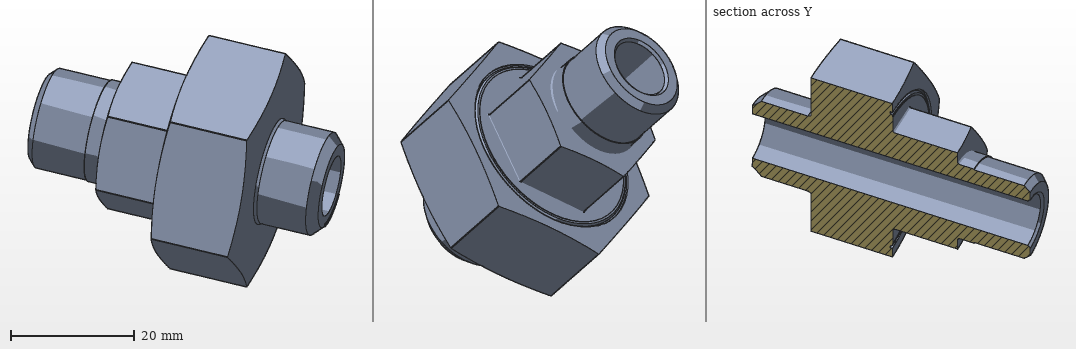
import cadquery as cq
import math


SPIGOT_LAND_START = 10.0
HEX_START = 12.9
COLLAR_FACE = 24.4
NUT_START = 24.5
NUT_LENGTH = 14.5
NUT_END = NUT_START + NUT_LENGTH
BODY_LENGTH = 49.4

SPIGOT_RADIUS = 16.66 / 2
SPIGOT_LAND_RADIUS = 17.0 / 2
SPIGOT_CHAMFER = 1.1

STUB_RADIUS = 17.2 / 2
STUB_CHAMFER_LENGTH = 1.6
STUB_CHAMFER_HEIGHT = 1.65

BORE_RADIUS = 10.0 / 2
BORE_CHAMFER = 0.45

HEX_ACROSS_FLATS = 22.0
NUT_ACROSS_FLATS = 35.0
HEX_CORNER_CHAMFER = 0.09
HEX_BEVEL_ANGLE = 15.0
BEVEL_CIRCLE_INSET = 0.05

SPIGOT_FILLET = 0.4
HEX_FILLET = 0.4
STUB_FOOT_LENGTH = 0.5
STUB_FOOT_HEIGHT = 0.25

RECESS_RADIUS = 30.9 / 2
RECESS_DEPTH = 0.4
COLLAR_RADIUS = 29.0 / 2
RING_RADIUS = 30.3 / 2
RING_CHAMFER = 0.3
RING_OVERLAP = 0.5

BAND_HEIGHT = 0.1
BAND_WIDTH = 0.5
BAND_HALF_ANGLE = 33.0


def cylinder(radius, start, end):
    return cq.Workplane("YZ", origin=(start, 0, 0)).circle(radius).extrude(end - start)


def revolve_profile(profile):
    """Turn a closed (x, radius) outline around the X axis."""
    return profile.close().revolve(360, (0, 0, 0), (1, 0, 0))


def hexagon(across_flats, start, end):
    """Hexagonal bar with flats facing +Z and -Z and narrow flats along the corners."""
    corner_diameter = across_flats / math.cos(math.radians(30))
    bar = cq.Workplane("YZ", origin=(start, 0, 0)).polygon(6, corner_diameter).extrude(end - start)
    return bar.edges("|X").chamfer(HEX_CORNER_CHAMFER)


def bevel_envelope(across_flats, start, end, bevel_end):
    """Turned envelope that bevels the hexagon corners at the start and optionally at the end."""
    face_radius = across_flats / 2 - BEVEL_CIRCLE_INSET
    outer_radius = across_flats / 2 / math.cos(math.radians(30))
    bevel_length = (outer_radius - face_radius) * math.tan(math.radians(HEX_BEVEL_ANGLE))
    profile = cq.Workplane("XY").moveTo(start, 0).lineTo(start, face_radius)
    profile = profile.lineTo(start + bevel_length, outer_radius)
    if bevel_end:
        profile = profile.lineTo(end - bevel_length, outer_radius).lineTo(end, face_radius)
    else:
        profile = profile.lineTo(end, outer_radius)
    return revolve_profile(profile.lineTo(end, 0))


def spigot():
    """Chamfered spigot with a raised land and a fillet running into the small hexagon."""
    fillet_start = HEX_START - SPIGOT_FILLET
    fillet_top = SPIGOT_LAND_RADIUS + SPIGOT_FILLET
    profile = (
        cq.Workplane("XY")
        .lineTo(0, SPIGOT_RADIUS - SPIGOT_CHAMFER)
        .lineTo(SPIGOT_CHAMFER, SPIGOT_RADIUS)
        .lineTo(SPIGOT_LAND_START, SPIGOT_RADIUS)
        .lineTo(SPIGOT_LAND_START, SPIGOT_LAND_RADIUS)
        .lineTo(fillet_start, SPIGOT_LAND_RADIUS)
        .radiusArc((HEX_START, fillet_top), -SPIGOT_FILLET)
        .lineTo(HEX_START, 0)
    )
    return revolve_profile(profile)


def body_hexagon():
    """Small hexagon standing on the collar disc, with a fillet around its foot."""
    bar = hexagon(HEX_ACROSS_FLATS, HEX_START, COLLAR_FACE)
    bar = bar.intersect(bevel_envelope(HEX_ACROSS_FLATS, HEX_START, COLLAR_FACE, False))
    collar = cylinder(COLLAR_RADIUS, COLLAR_FACE, NUT_END)
    joined = bar.union(collar)
    reach = HEX_ACROSS_FLATS
    foot = cq.selectors.BoxSelector(
        (COLLAR_FACE - HEX_FILLET / 2, -reach, -reach),
        (COLLAR_FACE + HEX_FILLET / 2, reach, reach),
    )
    collar_rim = cq.selectors.RadiusNthSelector(-1)
    return joined.edges(foot - collar_rim).fillet(HEX_FILLET)


def nut():
    """Large hexagon with its corners bevelled at both ends."""
    bar = hexagon(NUT_ACROSS_FLATS, NUT_START, NUT_END)
    return bar.intersect(bevel_envelope(NUT_ACROSS_FLATS, NUT_START, NUT_END, True))


def face_recess():
    """Shallow round pocket in the spigot side of the nut."""
    return cylinder(RECESS_RADIUS, NUT_START, NUT_START + RECESS_DEPTH)


def seat_ring():
    """Disc flush with the nut face, with a chamfered rim that leaves a narrow gap around it."""
    disc = cylinder(RING_RADIUS, NUT_START, NUT_START + RECESS_DEPTH + RING_OVERLAP)
    return disc.faces("<X").chamfer(RING_CHAMFER)


def stub():
    """Weld stub with a flared foot at the nut and a bevelled free end."""
    profile = (
        cq.Workplane("XY")
        .moveTo(NUT_END, 0)
        .lineTo(NUT_END, STUB_RADIUS + STUB_FOOT_HEIGHT)
        .lineTo(NUT_END + STUB_FOOT_LENGTH, STUB_RADIUS)
        .lineTo(BODY_LENGTH - STUB_CHAMFER_LENGTH, STUB_RADIUS)
        .lineTo(BODY_LENGTH, STUB_RADIUS - STUB_CHAMFER_HEIGHT)
        .lineTo(BODY_LENGTH, 0)
    )
    return revolve_profile(profile)


def end_band():
    """Thin arc-shaped pad on the lower rim of the stub end face."""
    outer = STUB_RADIUS - STUB_CHAMFER_HEIGHT
    inner = outer - BAND_WIDTH
    sine = math.sin(math.radians(BAND_HALF_ANGLE))
    cosine = math.cos(math.radians(BAND_HALF_ANGLE))
    return (
        cq.Workplane("YZ", origin=(BODY_LENGTH, 0, 0))
        .moveTo(-outer * sine, -outer * cosine)
        .threePointArc((0, -outer), (outer * sine, -outer * cosine))
        .lineTo(inner * sine, -inner * cosine)
        .threePointArc((0, -inner), (-inner * sine, -inner * cosine))
        .close()
        .extrude(BAND_HEIGHT)
    )


def bore():
    """Through bore with a chamfered mouth at the spigot end."""
    mouth_radius = BORE_RADIUS + BORE_CHAMFER
    profile = (
        cq.Workplane("XY")
        .lineTo(0, mouth_radius)
        .lineTo(BORE_CHAMFER, BORE_RADIUS)
        .lineTo(BODY_LENGTH, BORE_RADIUS)
        .lineTo(BODY_LENGTH, 0)
    )
    return revolve_profile(profile)


result = (
    nut()
    .cut(face_recess())
    .union(seat_ring())
    .union(body_hexagon())
    .union(spigot())
    .union(stub())
    .union(end_band())
    .cut(bore())
)